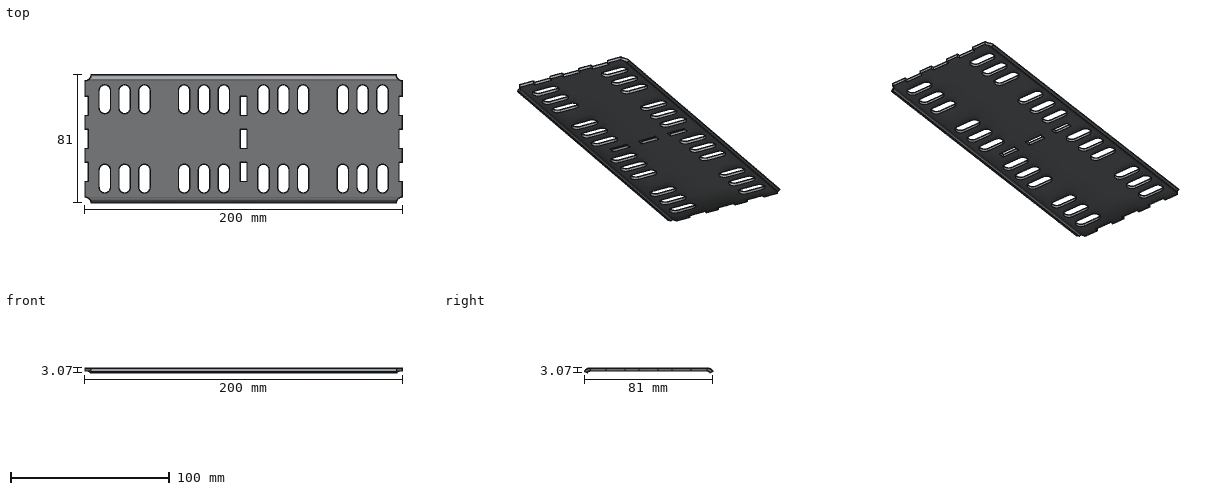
import cadquery as cq
import math

length = 200.0
width = 81.0
thickness = 2.0

bend_angle = math.radians(65)
bend_run = 3.5
outer_radius = bend_run / math.sin(bend_angle)
inner_radius = outer_radius - thickness
flat_half_width = width / 2 - bend_run

corner_radius = 3.8

slot_width = 7.0
slot_length = 18.0
slot_pitch = length / 16
group_pitch = length / 4
slots_per_group = 3
group_count = 4
row_count = 2
row_pitch = 50.0

window_width = 4.0
window_length = 12.0
window_pitch = 20.8
window_count = 3
window_columns = 3
window_column_pitch = length / 2


def spread(count, pitch):
    """Evenly spaced positions centred on zero."""
    return [(index - (count - 1) / 2) * pitch for index in range(count)]


def bend_point(side, radius, angle):
    """Point (Y, Z) on a bend arc; angle is measured from straight up."""
    y = flat_half_width + radius * math.sin(angle)
    z = radius * math.cos(angle) - outer_radius
    return (side * y, z)


def bent_plate():
    """Sheet with both long edges curled down; its flat top face is at Z = 0."""
    half_angle = bend_angle / 2
    profile = (
        cq.Workplane("YZ")
        .moveTo(*bend_point(-1, outer_radius, 0))
        .lineTo(*bend_point(1, outer_radius, 0))
        .threePointArc(bend_point(1, outer_radius, half_angle), bend_point(1, outer_radius, bend_angle))
        .lineTo(*bend_point(1, inner_radius, bend_angle))
        .threePointArc(bend_point(1, inner_radius, half_angle), bend_point(1, inner_radius, 0))
        .lineTo(*bend_point(-1, inner_radius, 0))
        .threePointArc(bend_point(-1, inner_radius, half_angle), bend_point(-1, inner_radius, bend_angle))
        .lineTo(*bend_point(-1, outer_radius, bend_angle))
        .threePointArc(bend_point(-1, outer_radius, half_angle), bend_point(-1, outer_radius, 0))
        .close()
    )
    return profile.extrude(length / 2, both=True)


def through_cutter(sketch):
    """Extrude closed outlines well past both faces of the plate."""
    return sketch.extrude(outer_radius + thickness, both=True)


def oblong_slots():
    """Cutter for all the oblong slots, which run along Y."""
    centres = [
        (group_x + slot_x, row_y)
        for group_x in spread(group_count, group_pitch)
        for slot_x in spread(slots_per_group, slot_pitch)
        for row_y in spread(row_count, row_pitch)
    ]
    return through_cutter(cq.Workplane("XY").pushPoints(centres).slot2D(slot_length, slot_width, 90))


def windows():
    """Cutter for the centre windows and the end notches."""
    centres = [
        (column_x, window_y)
        for column_x in spread(window_columns, window_column_pitch)
        for window_y in spread(window_count, window_pitch)
    ]
    return through_cutter(cq.Workplane("XY").pushPoints(centres).rect(window_width, window_length))


def corner_reliefs():
    """Cutter that rounds away the curled edge at the four corners."""
    corners = [(x, y) for x in spread(2, length) for y in spread(2, width)]
    return through_cutter(cq.Workplane("XY").pushPoints(corners).circle(corner_radius))


result = bent_plate().cut(oblong_slots()).cut(windows()).cut(corner_reliefs())